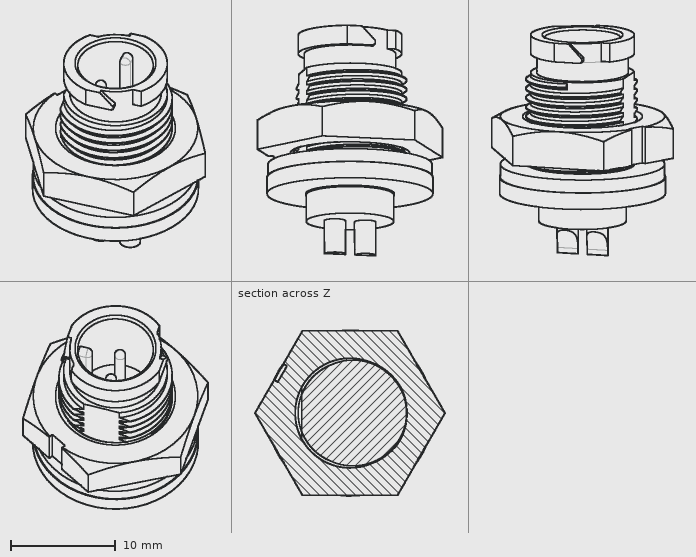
import cadquery as cq
import math

flange_bottom = -1.6
relief_bottom = -1.72
boss_bottom = -4.3
tail_bottom = -7.54
gasket_top = 1.25
nut_bottom = 2.33
nut_height = 3.56
nut_top = nut_bottom + nut_height
collar_top = 10.16
ring_bottom = 12.03
shell_top = 13.85
bore_floor = 6.0

flange_radius = 7.94
boss_radius = 4.19
relief_radius = 4.24
shell_radius = 4.957
neck_radius = 4.375
bore_radius = 3.61
bore_chamfer = 0.26

keying_flat_x = -4.63
ring_flat_y = 4.77

notch_wall_y = 3.28
ramp_start_x = 0.06
ramp_end_x = 1.40
ramp_foot_x = 1.24
ramp_foot_rise = 0.16
ramp_end_rise = 0.44

pitch = 0.907
thread_turns = 10
crest_radius = 5.42
tooth_base = 0.58
crest_width = 0.08
thread_embed = 0.1
thread_clearance = 0.02
thread_end_angle = 90
thread_end_z = 9.70

contact_spacing = 2.97
pin_radius = 0.52
pin_tip = 11.22
tail_radius = 1.025
cup_cut_radius = 2.3
cup_cut_z = -7.0

key_radius = 0.5
key_end_y = 2.83
key_top = 12.37

across_corners = 18.18
across_flats = across_corners * math.cos(math.radians(30))
nut_crown_inset = 0.01
nut_crown_radius = across_flats / 2 - nut_crown_inset
nut_crown_angle = 30
nut_bore_radius = 5.23
nut_mouth_radius = 5.73
nut_mouth_angle = 30
nut_notch_width = 1.75
nut_notch_depth = 0.4
nut_notch_angle = 150

gasket_radius = 7.86


def cylinder(radius, bottom, top):
    return cq.Workplane("XY").workplane(offset=bottom).circle(radius).extrude(top - bottom)


def revolve_outline(points):
    """Full turn about the connector axis of a closed (radius, z) outline."""
    return cq.Workplane("XZ").polyline(points).close().revolve(360, (0, 0, 0), (0, 1, 0))


def make_domed_post(radius, bottom, tip):
    """Round post on the connector axis with a hemispherical tip."""
    dome_z = tip - radius
    dome = cq.Workplane("XY").sphere(radius).translate((0, 0, dome_z))
    return cylinder(radius, bottom, dome_z).union(dome)


def make_thread(bottom, top, clearance):
    """Right-handed trapezoidal ridge between two levels, grown by the clearance all round."""
    root = shell_radius - thread_embed
    flank_slope = (tooth_base - crest_width) / 2 / (crest_radius - shell_radius)
    crest = crest_radius + clearance
    half_root = tooth_base / 2 + thread_embed * flank_slope + clearance
    half_crest = crest_width / 2 + clearance
    length = pitch * thread_turns
    helix = cq.Wire.makeHelix(pitch, length, shell_radius)
    tooth = cq.Workplane("XZ").polyline([
        (root, -half_root),
        (crest, -half_crest),
        (crest, half_crest),
        (root, half_root),
    ]).close()
    ridge = tooth.sweep(cq.Workplane(obj=helix), isFrenet=True)
    ridge = ridge.rotate((0, 0, 0), (0, 0, 1), thread_end_angle)
    ridge = ridge.translate((0, 0, thread_end_z - length))
    return ridge.intersect(cylinder(flange_radius, bottom, top))


def make_notch():
    """Bayonet notch on the -Y side, with a ramped left end and a square right end."""
    ramp = (
        cq.Workplane("XZ")
        .moveTo(ramp_start_x, shell_top)
        .lineTo(ramp_end_x, ring_bottom + ramp_end_rise)
        .lineTo(ramp_end_x, ring_bottom + ramp_foot_rise)
        .lineTo(ramp_foot_x, ring_bottom)
        .lineTo(flange_radius, ring_bottom)
        .lineTo(flange_radius, shell_top)
        .close()
        .extrude(flange_radius)
    )
    beyond_wall = cq.Workplane("XY").box(
        2 * flange_radius, flange_radius, shell_top, centered=(True, False, False)
    ).translate((0, -notch_wall_y - flange_radius, 0))
    return ramp.intersect(beyond_wall).cut(cylinder(neck_radius, 0, shell_top))


def make_top_ring():
    ring = cylinder(shell_radius, ring_bottom, shell_top)
    flats = cq.Workplane("XY").box(2 * flange_radius, 2 * ring_flat_y, 2 * shell_top)
    ring = ring.intersect(flats)
    notch = make_notch()
    for angle in (0, 180):
        ring = ring.cut(notch.rotate((0, 0, 0), (0, 0, 1), angle))
    return ring


def make_threaded_barrel(thread):
    """Threaded barrel with one flat along its -X side."""
    barrel = cylinder(shell_radius, gasket_top, collar_top).union(thread)
    flat_cut = cq.Workplane("XY").box(
        flange_radius, 2 * flange_radius, shell_top, centered=(False, True, False)
    ).translate((keying_flat_x - flange_radius, 0, gasket_top))
    return barrel.cut(flat_cut)


def make_key():
    """Round-ended key, domed on top, that stands against the +Y side of the bore."""
    crown_z = key_top - key_radius
    length = (bore_radius + neck_radius) / 2 - key_end_y
    post = make_domed_post(key_radius, bore_floor, key_top).translate((0, key_end_y, 0))
    web = cq.Workplane("XY").box(
        2 * key_radius, length, crown_z - bore_floor, centered=(True, False, False)
    ).translate((0, key_end_y, bore_floor))
    crown = cq.Workplane("XZ").circle(key_radius).extrude(-length).translate((0, key_end_y, crown_z))
    return post.union(web).union(crown)


def make_contact(x):
    """Domed pin in the bore above a solder tail that is cut away on its +Y half."""
    pin = make_domed_post(pin_radius, boss_bottom, pin_tip)
    tail = cylinder(tail_radius, tail_bottom, boss_bottom)
    scoop = cq.Workplane("YZ").center(cup_cut_radius, cup_cut_z).circle(cup_cut_radius)
    scoop = scoop.extrude(tail_radius, both=True)
    below_scoop = cq.Workplane("XY").box(
        2 * tail_radius, tail_radius, cup_cut_z - tail_bottom, centered=(True, False, False)
    ).translate((0, 0, tail_bottom))
    tail = tail.cut(scoop).cut(below_scoop)
    return pin.union(tail).translate((x, 0, 0))


def make_housing(thread):
    body = cylinder(flange_radius, flange_bottom, 0)
    body = body.union(cylinder(relief_radius, relief_bottom, flange_bottom))
    body = body.union(cylinder(boss_radius, boss_bottom, relief_bottom))
    body = body.union(cylinder(shell_radius, 0, gasket_top))
    body = body.union(make_threaded_barrel(thread))
    body = body.union(cylinder(neck_radius, collar_top, shell_top))
    body = body.union(make_top_ring())
    bore = cylinder(bore_radius, bore_floor, shell_top)
    mouth = revolve_outline([
        (0, shell_top - bore_chamfer),
        (bore_radius, shell_top - bore_chamfer),
        (bore_radius + bore_chamfer, shell_top),
        (0, shell_top),
    ])
    body = body.cut(bore).cut(mouth).union(make_key())
    for side in (-1, 1):
        body = body.union(make_contact(side * contact_spacing / 2))
    return body


def make_nut(thread_groove):
    """Hex nut crowned on top, threaded to match the barrel, with a notch in one face."""
    nut = cq.Workplane("XY").workplane(offset=nut_bottom).polygon(6, across_corners).extrude(nut_height)
    corner_radius = across_corners / 2
    crown_drop = (corner_radius - nut_crown_radius) * math.tan(math.radians(nut_crown_angle))
    envelope = revolve_outline([
        (0, nut_bottom),
        (corner_radius, nut_bottom),
        (corner_radius, nut_top - crown_drop),
        (nut_crown_radius, nut_top),
        (0, nut_top),
    ])
    mouth_depth = (nut_mouth_radius - nut_bore_radius) * math.tan(math.radians(nut_mouth_angle))
    bore = revolve_outline([
        (0, nut_bottom),
        (nut_mouth_radius, nut_bottom),
        (nut_bore_radius, nut_bottom + mouth_depth),
        (nut_bore_radius, nut_top - mouth_depth),
        (nut_mouth_radius, nut_top),
        (0, nut_top),
    ])
    notch = cq.Workplane("XY").box(
        2 * nut_notch_depth, nut_notch_width, nut_height, centered=(True, True, False)
    )
    notch = notch.translate((across_flats / 2, 0, nut_bottom))
    notch = notch.rotate((0, 0, 0), (0, 0, 1), nut_notch_angle)
    return nut.intersect(envelope).cut(bore).cut(notch).cut(thread_groove)


def make_gasket():
    return cylinder(gasket_radius, 0, gasket_top).cut(cylinder(shell_radius, 0, gasket_top))


barrel_thread = make_thread(gasket_top, shell_top, 0)
nut_thread_groove = make_thread(nut_bottom - pitch / 2, nut_top + pitch / 2, thread_clearance)

housing = make_housing(barrel_thread)
nut = make_nut(nut_thread_groove)
gasket = make_gasket()

result = cq.Compound.makeCompound([housing.val(), nut.val(), gasket.val()])